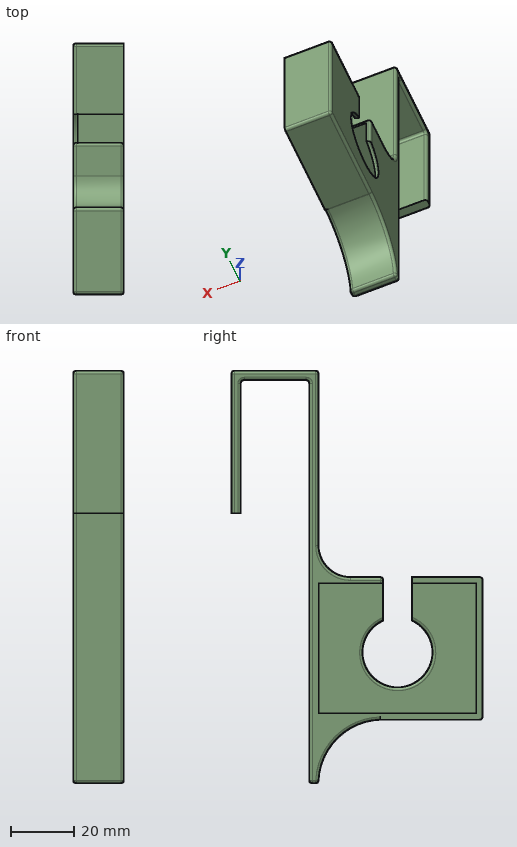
import cadquery as cq

width = 16.0
edge_radius = 1.0

tolerance = 1e-3

total_height = 130.0
box_bottom = 20.0
box_top = box_bottom + 45.0

strap = 3.0
hook_gap = 21.5
hook_leg_length = 45.0
spine_back = -strap
leg_inner = spine_back - hook_gap
leg_outer = leg_inner - strap
leg_bottom = total_height - hook_leg_length
inner_top = total_height - strap
hook_inner_radius = 1.0

web = 1.5
wall = 2.0
cavity_length = 49.7
box_end = cavity_length + wall

lower_blend_radius = 20.0
upper_blend_radius = 10.0

hole_diameter = 22.0
hole_rim_radius = 1.0
slot_width = 9.0
hole_y = cavity_length / 2
hole_z = box_bottom + 21.25

shoulder_end = hole_y - slot_width / 2


def block(y_min, y_max, z_min, z_max, x_min=0.0, x_max=width):
    """Box given by its limits along each axis."""
    size = (x_max - x_min, y_max - y_min, z_max - z_min)
    return cq.Workplane("XY").box(*size, centered=False).translate((x_min, y_min, z_min))


def make_hook_and_shoulder():
    """Spine, hook and shoulder of the box, rounded everywhere except at the tip of the hook leg."""
    profile = (
        cq.Workplane("YZ")
        .moveTo(0, 0)
        .radiusArc((lower_blend_radius, box_bottom), lower_blend_radius)
        .lineTo(shoulder_end, box_bottom)
        .lineTo(shoulder_end, box_top)
        .lineTo(upper_blend_radius, box_top)
        .radiusArc((0, box_top + upper_blend_radius), upper_blend_radius)
        .lineTo(0, total_height)
        .lineTo(leg_outer, total_height)
        .lineTo(leg_outer, leg_bottom)
        .lineTo(leg_inner, leg_bottom)
        .lineTo(leg_inner, inner_top)
        .lineTo(spine_back, inner_top)
        .lineTo(spine_back, 0)
        .close()
    )
    body = profile.extrude(width)

    for corner_y in (leg_inner, spine_back):
        corner = cq.NearestToPointSelector((width / 2, corner_y, inner_top))
        body = body.edges("|X").edges(corner).fillet(hook_inner_radius)

    rounded = body.faces("<X or >X").edges().vals()
    for corner_y, corner_z in (
        (0, total_height),
        (leg_outer, total_height),
        (shoulder_end, box_top),
        (shoulder_end, box_bottom),
        (0, 0),
        (spine_back, 0),
    ):
        corner = cq.NearestToPointSelector((width / 2, corner_y, corner_z))
        rounded += body.edges("|X").edges(corner).vals()
    rounded = [edge for edge in rounded if abs(edge.Center().z - leg_bottom) > tolerance]
    return body.newObject(rounded).fillet(edge_radius)


def make_box_front():
    """Part of the box beyond the slot, overlapping the shoulder to fill its rounded end."""
    overlap_end = shoulder_end - edge_radius
    front = block(overlap_end, box_end, box_bottom, box_top)
    front = front.edges("|X and >Y").fillet(edge_radius)
    front = front.faces("<X").edges("not <Y").fillet(edge_radius)
    entry_slot = block(overlap_end, shoulder_end + slot_width, hole_z, box_top)
    return front.cut(entry_slot)


def make_cavity():
    """Pocket from the web to the open side, between the spine and the end wall."""
    return block(0, cavity_length, box_bottom + wall, box_top - wall, web)


def make_cable_hole():
    """Cylinder along X through the web."""
    return (
        cq.Workplane("YZ")
        .center(hole_y, hole_z)
        .circle(hole_diameter / 2)
        .extrude(web)
    )


def round_hole_rim(body):
    """Round the rim of the cable hole inside the cavity."""
    circles = body.edges("%CIRCLE")
    rim = circles.filter(lambda edge: abs(edge.Center().x - web) < tolerance)
    return rim.fillet(hole_rim_radius)


bracket = make_hook_and_shoulder().union(make_box_front())
bracket = bracket.cut(make_cavity()).cut(make_cable_hole())
result = round_hole_rim(bracket)